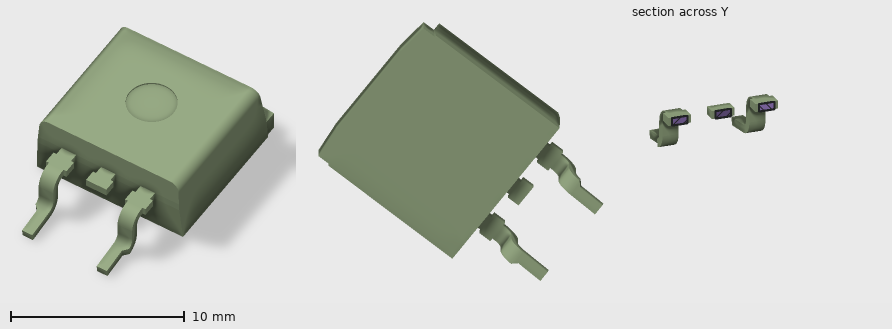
import cadquery as cq
import math

housing_width = 10.0
housing_height = 4.4
housing_back_y = 4.625
housing_front_y = -4.625
side_draft = math.radians(3.5)
front_draft = math.radians(4.0)
back_draft = math.radians(10.0)
top_edge_radius = 0.6
mark_radius = 1.5
mark_depth = 0.1

tab_half_width = 4.9
tab_thickness = 1.25
tab_reach = 1.0
tab_inset = 0.1
tab_end_half_width = 3.0
tab_end_taper = 0.2

lead_thickness = 0.5
lead_top_z = 2.9
lead_bottom_z = lead_top_z - lead_thickness
lead_pitch = 2.7
lead_width = 1.0
shoulder_width = 1.4
shoulder_start = 0.55
shoulder_end = 1.35
middle_lead_length = 1.3

bend_start = 1.45
bend_inner_radius = 0.5
bend_outer_radius = bend_inner_radius + lead_thickness
lower_bend_z = 1.15
foot_angle = math.radians(8.0)
foot_tip_y = housing_front_y - 4.7
foot_width = 0.7
foot_notch = lead_width - foot_width
notch_lead_in = 0.1


def make_tab():
    back_end = housing_back_y + tab_reach
    front_end = housing_back_y - tab_inset
    return (
        cq.Workplane("XY")
        .moveTo(-tab_half_width, front_end)
        .lineTo(tab_half_width, front_end)
        .lineTo(tab_half_width, back_end - tab_end_taper)
        .lineTo(tab_end_half_width, back_end)
        .lineTo(-tab_end_half_width, back_end)
        .lineTo(-tab_half_width, back_end - tab_end_taper)
        .close()
        .extrude(tab_thickness)
    )


def make_housing(tab):
    half_width = housing_width / 2
    top_half_width = half_width - housing_height * math.tan(side_draft)
    block = (
        cq.Workplane("XZ", origin=(0, housing_back_y, 0))
        .moveTo(-half_width, 0)
        .lineTo(half_width, 0)
        .lineTo(top_half_width, housing_height)
        .lineTo(-top_half_width, housing_height)
        .close()
        .extrude(housing_back_y - housing_front_y)
        .faces(">Z")
        .edges("|Y")
        .fillet(top_edge_radius)
    )

    front_bottom_y = housing_front_y + lead_bottom_z * math.tan(front_draft)
    front_top_y = housing_front_y + (housing_height - lead_top_z) * math.tan(front_draft)
    back_top_y = housing_back_y - (housing_height - tab_thickness) * math.tan(back_draft)
    side_profile = (
        cq.Workplane("YZ")
        .moveTo(front_bottom_y, 0)
        .lineTo(housing_back_y, 0)
        .lineTo(housing_back_y, tab_thickness)
        .lineTo(back_top_y, housing_height)
        .lineTo(front_top_y, housing_height)
        .lineTo(housing_front_y, lead_top_z)
        .lineTo(housing_front_y, lead_bottom_z)
        .close()
        .extrude(half_width, both=True)
    )

    mark = (
        cq.Workplane("XY", origin=(0, 0, housing_height - mark_depth))
        .circle(mark_radius)
        .extrude(mark_depth)
    )
    return block.intersect(side_profile).cut(mark).cut(tab)


def lead_block(x_min, x_max, start, end):
    """Flat stretch of a lead between two distances in front of the housing."""
    return (
        cq.Workplane("XY")
        .box(x_max - x_min, end - start, lead_thickness, centered=False)
        .translate((x_min, housing_front_y - end, lead_bottom_z))
    )


def make_middle_lead():
    neck = lead_block(-lead_width / 2, lead_width / 2, 0, shoulder_start)
    shoulder = lead_block(-shoulder_width / 2, shoulder_width / 2, shoulder_start, middle_lead_length)
    return neck.union(shoulder)


def make_outer_lead(side):
    """Gull-wing lead; side is -1 or 1 and its foot is notched on the side away from the middle."""
    upper_y = housing_front_y - bend_start
    lower_y = upper_y - bend_outer_radius - bend_inner_radius
    upper_z = lead_top_z - bend_outer_radius

    def upper_point(radius, angle):
        return (upper_y - radius * math.cos(angle), upper_z + radius * math.sin(angle))

    def lower_point(radius, angle):
        return (lower_y + radius * math.cos(angle), lower_bend_z - radius * math.sin(angle))

    quarter = math.pi / 2
    sweep = quarter - foot_angle
    foot_top_start = lower_point(bend_inner_radius, sweep)
    foot_length = (foot_top_start[0] - foot_tip_y) / math.cos(foot_angle)
    foot_top_end = (foot_tip_y, foot_top_start[1] - foot_length * math.sin(foot_angle))
    foot_bottom_end = (
        foot_tip_y + lead_thickness * math.sin(foot_angle),
        foot_top_end[1] - lead_thickness * math.cos(foot_angle),
    )

    strip = (
        cq.Workplane("YZ", origin=(-lead_width / 2, 0, 0))
        .moveTo(housing_front_y, lead_top_z)
        .lineTo(*upper_point(bend_outer_radius, quarter))
        .threePointArc(upper_point(bend_outer_radius, quarter / 2), upper_point(bend_outer_radius, 0))
        .lineTo(*lower_point(bend_inner_radius, 0))
        .threePointArc(lower_point(bend_inner_radius, sweep / 2), foot_top_start)
        .lineTo(*foot_top_end)
        .lineTo(*foot_bottom_end)
        .lineTo(*lower_point(bend_outer_radius, sweep))
        .threePointArc(lower_point(bend_outer_radius, sweep / 2), lower_point(bend_outer_radius, 0))
        .lineTo(*upper_point(bend_inner_radius, 0))
        .threePointArc(upper_point(bend_inner_radius, quarter / 2), upper_point(bend_inner_radius, quarter))
        .lineTo(housing_front_y, lead_bottom_z)
        .close()
        .extrude(lead_width)
    )

    outer_x = side * lead_width / 2
    inner_x = outer_x - side * foot_notch
    foot_plane = cq.Plane(
        origin=(0, foot_top_start[0], foot_top_start[1]),
        xDir=(1, 0, 0),
        normal=(0, -math.sin(foot_angle), math.cos(foot_angle)),
    )
    notch = (
        cq.Workplane(foot_plane)
        .moveTo(outer_x, notch_lead_in)
        .lineTo(inner_x, notch_lead_in - foot_notch)
        .lineTo(inner_x, -foot_length)
        .lineTo(outer_x, -foot_length)
        .close()
        .extrude(lead_thickness, both=True)
    )

    shoulder = lead_block(-shoulder_width / 2, shoulder_width / 2, shoulder_start, shoulder_end)
    return strip.cut(notch).union(shoulder).translate((side * lead_pitch, 0, 0))


tab = make_tab()
housing = make_housing(tab)
middle_lead = make_middle_lead()
outer_leads = [make_outer_lead(side) for side in (-1, 1)]

result = cq.Compound.makeCompound(
    [housing.val(), tab.val(), middle_lead.val(), *[lead.val() for lead in outer_leads]]
)